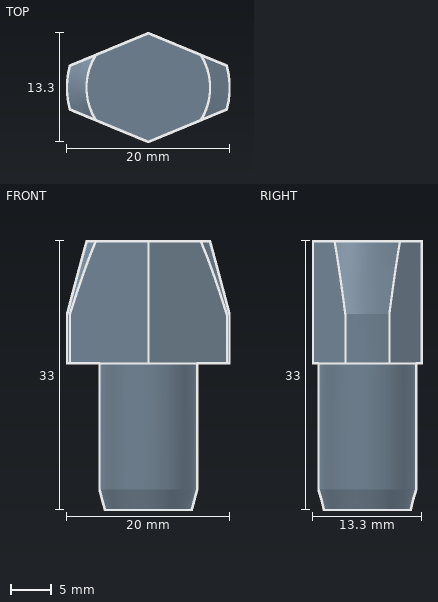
import cadquery as cq
import math

total_height = 33.0
head_height = 15.0
head_radius = 10.0
head_depth = 13.35
flat_angle = math.radians(22.5)

taper_slope = math.tan(math.radians(15))
head_taper_height = 9.0
shank_radius = 6.0
tip_height = 2.5

shank_height = total_height - head_height
head_straight_height = head_height - head_taper_height


def make_shank():
    """Round shank with a conical lead-in at its lower end."""
    tip_radius = shank_radius - tip_height * taper_slope
    return (
        cq.Workplane("XZ")
        .lineTo(tip_radius, 0)
        .lineTo(shank_radius, tip_height)
        .lineTo(shank_radius, shank_height)
        .lineTo(0, shank_height)
        .close()
        .revolve(360, (0, 0), (0, 1))
    )


def make_head():
    """Diamond prism trimmed by a cylinder that tapers towards the top."""
    half_depth = head_depth / 2
    half_diagonal = half_depth / math.tan(flat_angle)
    diamond = (
        cq.Workplane("XY", origin=(0, 0, shank_height))
        .polyline([
            (half_diagonal, 0),
            (0, half_depth),
            (-half_diagonal, 0),
            (0, -half_depth),
        ])
        .close()
        .extrude(head_height)
    )
    top_radius = head_radius - head_taper_height * taper_slope
    round_envelope = (
        cq.Workplane("XZ", origin=(0, 0, shank_height))
        .lineTo(head_radius, 0)
        .lineTo(head_radius, head_straight_height)
        .lineTo(top_radius, head_height)
        .lineTo(0, head_height)
        .close()
        .revolve(360, (0, 0), (0, 1))
    )
    return diamond.intersect(round_envelope)


result = make_shank().union(make_head())